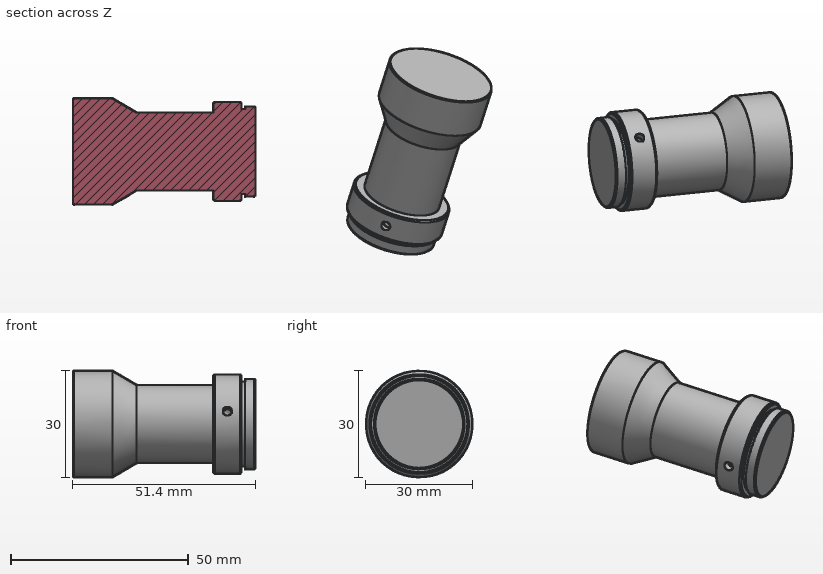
import cadquery as cq
import math

head_end = 11.1
cone_end = 17.95
collar_start = 39.5
collar_end = 47.45
groove_end = 48.45
length = 51.4

head_diameter = 30.0
barrel_diameter = 22.0
collar_diameter = 28.0
groove_diameter = 24.0
rim_diameter = 25.5

head_chamfer = 0.25
collar_chamfer = 0.45
rim_chamfer = 0.4

hole_diameter = 2.5
hole_count = 3
first_hole_angle = 45.0
hole_x = (collar_start + collar_end) / 2
hole_depth = hole_diameter
hole_tip_angle = 120.0
hole_tip_depth = hole_diameter / 2 / math.tan(math.radians(hole_tip_angle / 2))


def cylinder(start, end, diameter):
    """Solid cylinder on the X axis between two stations."""
    return cq.Workplane("YZ", origin=(start, 0, 0)).circle(diameter / 2).extrude(end - start)


def radial_hole(angle):
    """Cutter with a conical tip, reaching inward from the collar surface at an angle about X."""
    radius = hole_diameter / 2
    outer = collar_diameter / 2
    shoulder = outer - hole_depth
    return (
        cq.Workplane("XY")
        .moveTo(hole_x, outer)
        .lineTo(hole_x + radius, outer)
        .lineTo(hole_x + radius, shoulder)
        .lineTo(hole_x, shoulder - hole_tip_depth)
        .close()
        .revolve(360, (hole_x, 0, 0), (hole_x, 1, 0))
        .rotate((0, 0, 0), (1, 0, 0), angle)
    )


head = cylinder(0, head_end, head_diameter).faces("<X").chamfer(head_chamfer)
cone = (
    cq.Workplane("XY")
    .moveTo(head_end, 0)
    .lineTo(head_end, head_diameter / 2)
    .lineTo(cone_end, barrel_diameter / 2)
    .lineTo(cone_end, 0)
    .close()
    .revolve(360, (0, 0, 0), (1, 0, 0))
)
barrel = cylinder(cone_end, collar_start, barrel_diameter)
collar = cylinder(collar_start, collar_end, collar_diameter).edges().chamfer(collar_chamfer)
groove = cylinder(collar_end, groove_end, groove_diameter)
rim = cylinder(groove_end, length, rim_diameter).faces(">X").chamfer(rim_chamfer)

result = head.union(cone).union(barrel).union(collar).union(groove).union(rim)

for index in range(hole_count):
    result = result.cut(radial_hole(first_hole_angle + index * 360 / hole_count))